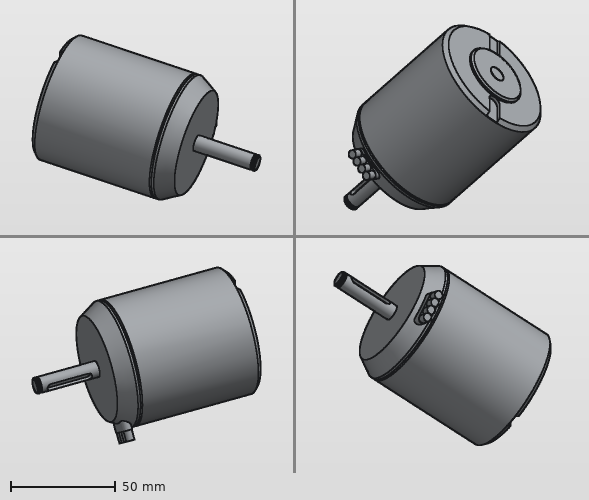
import cadquery as cq
import math

BODY_REAR_X = 2.0
GROOVE_START_X = 64.0
GROOVE_END_X = 65.0
NOSE_START_X = 66.3
NOSE_END_X = 74.93
SHAFT_LENGTH = 32.0
SHAFT_END_X = NOSE_END_X + SHAFT_LENGTH

BODY_RADIUS = 63.0 / 2
BODY_CHAMFER = 2.1
GROOVE_RADIUS = 57.15 / 2
NOSE_END_RADIUS = 26.4
BOSS_RADIUS = 31.75 / 2
BOSS_CHAMFER = 1.0
RECESS_RADIUS = 8.0 / 2
RECESS_DEPTH = 0.25

SHAFT_RADIUS = 8.0 / 2
SHAFT_CHAMFER = 0.5
RING_GROOVE_RADIUS = 7.0 / 2
RING_GROOVE_WIDTH = 0.95
RING_GROOVE_TO_END = 1.3
KEYWAY_WIDTH = 4.0
KEYWAY_LENGTH = 23.0
KEYWAY_OFFSET = 4.0
KEYWAY_DEPTH = 2.5

SLOT_WIDTH = 6.5
SLOT_DEPTH = 1.9

OUTLET_TO_NOSE_END = 4.93
OUTLET_X = NOSE_END_X - OUTLET_TO_NOSE_END
OUTLET_ANGLE = 45.0
OUTLET_COUNT = 4
OUTLET_RADIUS = 4.13 / 2
OUTLET_ROW_SPAN = 12.7
OUTLET_PITCH = OUTLET_ROW_SPAN / (OUTLET_COUNT - 1)
OUTLET_TIP_RADIUS = 37.46
PAD_WIDTH = 4.5
PAD_TOP_RADIUS = 32.3
PAD_ROOT_RADIUS = 24.0


def make_turned_body():
    """Boss, housing, nose and shaft as one revolved profile about X."""
    ring_groove_end = SHAFT_END_X - RING_GROOVE_TO_END
    ring_groove_start = ring_groove_end - RING_GROOVE_WIDTH
    profile = [
        (0, 0),
        (0, BOSS_RADIUS - BOSS_CHAMFER),
        (BOSS_CHAMFER, BOSS_RADIUS),
        (BODY_REAR_X, BOSS_RADIUS),
        (BODY_REAR_X, BODY_RADIUS - BODY_CHAMFER),
        (BODY_REAR_X + BODY_CHAMFER, BODY_RADIUS),
        (GROOVE_START_X, BODY_RADIUS),
        (GROOVE_START_X, GROOVE_RADIUS),
        (GROOVE_END_X, GROOVE_RADIUS),
        (GROOVE_END_X, BODY_RADIUS),
        (NOSE_START_X, BODY_RADIUS),
        (NOSE_END_X, NOSE_END_RADIUS),
        (NOSE_END_X, SHAFT_RADIUS),
        (ring_groove_start, SHAFT_RADIUS),
        (ring_groove_start, RING_GROOVE_RADIUS),
        (ring_groove_end, RING_GROOVE_RADIUS),
        (ring_groove_end, SHAFT_RADIUS),
        (SHAFT_END_X - SHAFT_CHAMFER, SHAFT_RADIUS),
        (SHAFT_END_X, SHAFT_RADIUS - SHAFT_CHAMFER),
        (SHAFT_END_X, 0),
    ]
    return cq.Workplane("XY").polyline(profile).close().revolve(360, (0, 0, 0), (1, 0, 0))


def make_rear_recess():
    """Shallow round recess in the centre of the boss face."""
    return cq.Workplane("YZ").circle(RECESS_RADIUS).extrude(RECESS_DEPTH)


def make_rear_slot(side):
    """Slot from the boss out through the rim, toward +Z (side=1) or -Z (side=-1)."""
    inner = BOSS_RADIUS
    outer = BODY_RADIUS + SLOT_WIDTH
    return (
        cq.Workplane("YZ", origin=(BODY_REAR_X, 0, 0))
        .center(0, side * (inner + outer) / 2)
        .slot2D(outer - inner, SLOT_WIDTH, 90)
        .extrude(SLOT_DEPTH)
    )


def make_keyway():
    """Round-ended keyway on the +Y side of the shaft."""
    center_x = NOSE_END_X + KEYWAY_OFFSET + KEYWAY_LENGTH / 2
    return (
        cq.Workplane("XZ", origin=(center_x, SHAFT_RADIUS, 0))
        .slot2D(KEYWAY_LENGTH, KEYWAY_WIDTH)
        .extrude(KEYWAY_DEPTH)
    )


def make_outlets():
    """Obround pad carrying a row of round cable outlets, facing +Y and -Z."""
    angle = math.radians(OUTLET_ANGLE)
    outward = cq.Vector(0, math.cos(angle), -math.sin(angle))
    along_row = cq.Vector(0, math.sin(angle), math.cos(angle))
    root_center = cq.Vector(OUTLET_X, 0, 0) + outward * PAD_ROOT_RADIUS
    root = cq.Workplane(cq.Plane(origin=root_center, xDir=along_row, normal=outward))
    pad = root.slot2D(OUTLET_ROW_SPAN + PAD_WIDTH, PAD_WIDTH).extrude(PAD_TOP_RADIUS - PAD_ROOT_RADIUS)
    pins = (
        root.rarray(OUTLET_PITCH, 1, OUTLET_COUNT, 1)
        .circle(OUTLET_RADIUS)
        .extrude(OUTLET_TIP_RADIUS - PAD_ROOT_RADIUS)
    )
    return pad.union(pins)


result = make_turned_body().union(make_outlets()).cut(make_rear_recess()).cut(make_keyway())
for side in (1, -1):
    result = result.cut(make_rear_slot(side))